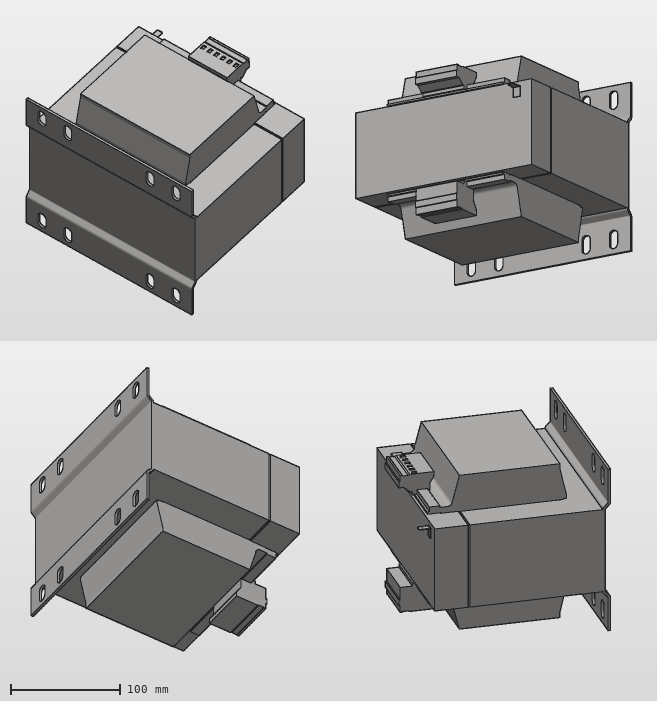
import cadquery as cq


width = 192.0
depth = 180.3
height = 161.0

sheet = 2.5
bracket_offset = 5.0
flange_bend_z = 46.3
bend_outer_radius = 3.6
bend_inner_radius = bend_outer_radius - sheet
slot_width = 9.0
slot_length = 17.7
slot_z = 66.6
slot_x_places = (47.6, 77.5)

core_height = 82.0
core_top = core_height / 2
core_front = bracket_offset + sheet
core_rear = 167.2
yoke_gap = 1.5
yoke_gap_recess = 0.4
yoke_front = 135.4
gap_front = yoke_front - yoke_gap

coil_width = 126.7
coil_top = 76.8
coil_front = 39.0
coil_rear = 134.4
coil_clearance = 0.5
front_wall_bottom = 72.2
front_foot_y = 32.6
front_foot_top = 44.7
foot_lip = 2.3
foot_lift = 0.5
rear_slope_foot = 142.3
rear_slope_fillet = 4.6

shelf_top = 47.0
shelf_rear = 165.3
shelf_lift = 0.5
shelf_lift_start = 152.3
rail_front = 153.0
rail_rear = 163.0
rail_top = 48.5
ledge_top = 44.0
ledge_bevel = 0.8

terminal_count = 6
terminal_pitch = 7.5
block_width = terminal_count * terminal_pitch
block_front = 146.9
block_rear = 179.0
latch_rear = 167.5
ridge_front = 176.8
groove_slope_start = 171.5
groove_slope_end = 170.0
ridge_height = 0.5
groove_depth = 0.8
pocket_width = 3.0
pocket_length = 4.6
pocket_center_y = 164.5
pocket_depth = 1.5

upper_block_top = 64.7
upper_nose_bottom = 60.0
upper_neck_front = 150.7
upper_neck_top = 54.0
upper_rib_top = 58.5
upper_rib_bottom = 52.5
upper_slope_rear = 175.9
upper_slope_front = 169.7

lower_block_bottom = 72.2
lower_nose_top = 66.6
lower_neck_front = 151.5
lower_neck_bottom = 59.7
lower_rib_top = 59.3
lower_rib_bottom = 65.5

tab_x = -79.9
tab_thickness = 0.8
tab_top = 36.3
tab_plate_bottom = 26.3
tab_plate_width = 7.7
tab_root_rear = 170.5
tab_tip_width = 6.1
tab_tip_rear = 178.4
tab_tip_chamfer = 0.8


def extrude_across(points, span):
    """Extrude a closed (Y, Z) outline symmetrically about X = 0."""
    return cq.Workplane("YZ").polyline(points).close().extrude(span / 2, both=True)


def block(x_range, y_range, z_range):
    """Make a rectangular block from its limits on each axis."""
    sizes = [high - low for low, high in (x_range, y_range, z_range)]
    corner = (x_range[0], y_range[0], z_range[0])
    return cq.Workplane("XY").box(*sizes, centered=False).translate(corner)


def with_mirror_below(upper):
    """Join a shape to its mirror image below mid-height."""
    return upper.union(upper.mirror("XY"))


def fillet_x_edges_at(body, y, z, radius):
    """Fillet the edges along X that pass through the given Y and Z."""
    reach = 0.2
    selector = cq.selectors.BoxSelector((-width, y - reach, z - reach), (width, y + reach, z + reach))
    return body.edges(selector).fillet(radius)


def make_bracket():
    web_front = bracket_offset
    web_back = bracket_offset + sheet
    front_diagonal = flange_bend_z
    back_diagonal = flange_bend_z + sheet * 2 ** 0.5
    corners = [
        (0, front_diagonal, bend_outer_radius),
        (web_front, front_diagonal - web_front, bend_inner_radius),
        (web_back, back_diagonal - web_back, bend_outer_radius),
        (sheet, back_diagonal - sheet, bend_inner_radius),
    ]
    outline = [(y, z) for y, z, _ in corners]
    flange_end = height / 2
    upper = extrude_across(
        [(0, flange_end)] + outline[:2] + [(web_front, 0), (web_back, 0)]
        + outline[2:] + [(sheet, flange_end)],
        width,
    )
    for y, z, radius in corners:
        upper = fillet_x_edges_at(upper, y, z, radius)

    slot_places = [(side * x, slot_z) for x in slot_x_places for side in (-1, 1)]
    slots = (
        cq.Workplane("XZ")
        .pushPoints(slot_places)
        .slot2D(slot_length, slot_width, 90)
        .extrude(-sheet)
    )
    return with_mirror_below(upper.cut(slots))


def make_core():
    z_range = (-core_top, core_top)
    core = block((-width / 2, width / 2), (core_front, core_rear), z_range)
    inner = coil_width / 2
    outer = inner + coil_clearance
    clearance = block((inner, outer), (coil_front, gap_front), z_range)

    gap_y = (gap_front, yoke_front)
    side_limit = width / 2 - yoke_gap_recess
    joint = block((inner, width / 2), gap_y, z_range)
    filler_z = (-core_top + yoke_gap_recess, core_top - yoke_gap_recess)
    filler = block((inner, side_limit), gap_y, filler_z)

    cuts = clearance.union(joint.cut(filler))
    return core.cut(cuts).cut(cuts.mirror("YZ"))


def make_coil_end():
    shelf_bottom = core_top + shelf_lift
    body = extrude_across(
        [
            (front_foot_y + foot_lip, core_top),
            (front_foot_y + foot_lip, core_top + foot_lift),
            (front_foot_y, core_top + foot_lift),
            (front_foot_y, front_foot_top),
            (coil_front, front_wall_bottom),
            (coil_front, coil_top),
            (coil_rear, coil_top),
            (rear_slope_foot, shelf_top),
            (rail_front, shelf_top),
            (rail_front, rail_top),
            (rail_rear, rail_top),
            (rail_rear, ledge_top),
            (shelf_rear, ledge_top),
            (shelf_rear, shelf_bottom + ledge_bevel),
            (shelf_rear - ledge_bevel, shelf_bottom),
            (shelf_lift_start, shelf_bottom),
            (shelf_lift_start, core_top),
        ],
        coil_width,
    )
    return fillet_x_edges_at(body, rear_slope_foot, shelf_top, rear_slope_fillet)


def rail_grip():
    """Underside of a terminal block, from its latch to the front of the rail."""
    return [
        (latch_rear, shelf_top),
        (latch_rear, ledge_top),
        (rail_rear, ledge_top),
        (rail_rear, rail_top),
        (rail_front, rail_top),
        (rail_front, shelf_top),
    ]


def grooved_face(face):
    """Outer face of a terminal block, from front to rear, with its shallow marking groove."""
    floor = face - groove_depth
    ridge = floor + ridge_height
    return [
        (block_front, face),
        (groove_slope_end, face),
        (groove_slope_start, floor),
        (ridge_front, floor),
        (ridge_front, ridge),
        (block_rear, ridge),
    ]


def make_upper_block():
    outline = (
        rail_grip()
        + [
            (upper_neck_front, shelf_top),
            (upper_neck_front, upper_neck_top),
            (block_front, upper_nose_bottom),
        ]
        + grooved_face(upper_block_top)
        + [
            (block_rear, upper_rib_top),
            (depth, upper_rib_top),
            (depth, upper_rib_bottom),
            (upper_slope_rear, upper_rib_bottom),
            (upper_slope_front, shelf_top),
        ]
    )
    body = extrude_across(outline, block_width)
    pockets = (
        cq.Workplane("XY", origin=(0, pocket_center_y, upper_block_top))
        .rarray(terminal_pitch, 2, terminal_count, 1)
        .rect(pocket_width, pocket_length)
        .extrude(-pocket_depth)
    )
    return body.cut(pockets)


def make_lower_block():
    outline = (
        rail_grip()
        + [
            (lower_neck_front, shelf_top),
            (lower_neck_front, lower_neck_bottom),
            (block_front, lower_nose_top),
        ]
        + grooved_face(lower_block_bottom)
        + [
            (block_rear, lower_rib_bottom),
            (depth, lower_rib_bottom),
            (depth, lower_rib_top),
            (block_rear, lower_rib_top),
            (block_rear, shelf_top),
        ]
    )
    return extrude_across(outline, block_width).mirror("XY")


def make_earth_tab():
    root_x = (tab_x - tab_plate_width / 2, tab_x + tab_plate_width / 2)
    tip_x = (tab_x - tab_tip_width / 2, tab_x + tab_tip_width / 2)
    blade_z = (tab_top - tab_thickness, tab_top)
    plate = block(root_x, (core_rear, core_rear + tab_thickness), (tab_plate_bottom, tab_top))
    root = block(root_x, (core_rear, tab_root_rear), blade_z)
    tip = block(tip_x, (core_rear, tab_tip_rear), blade_z)
    tip = tip.edges("|Z and >Y").chamfer(tab_tip_chamfer)
    return plate.union(root).union(tip)


result = (
    make_core()
    .union(make_bracket())
    .union(with_mirror_below(make_coil_end()))
    .union(make_upper_block())
    .union(make_lower_block())
    .union(make_earth_tab())
)